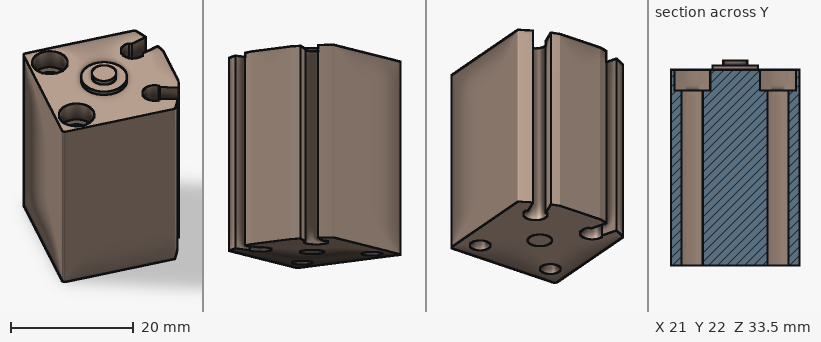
import cadquery as cq
import math

width = 21.0
depth = 22.0
half_width = width / 2
front_y = -half_width
back_y = front_y + depth
body_height = 32.0
front_corner_radius = 0.5

back_flat_half_width = 4.02
shoulder_y = 8.75
shoulder_bulge = 0.25
shoulder_corner_radius = 0.27

mount_offset = 7.0
mount_diameter = 3.4
counterbore_diameter = 5.8
counterbore_depth = 3.4

slot_x = 5.65
slot_y = 6.85
channel_diameter = 4.0
slot_width = 2.98
slot_tilt = 19.0
slot_length = 6.7
lip_height = 0.87
lip_drop = 0.25

boss_diameter = 7.5
boss_height = 0.7
rod_diameter = 4.0
rod_top = 33.5


def make_block():
    """Extrude the outline of the housing, symmetric about X = 0."""
    run = half_width - back_flat_half_width
    drop = back_y - shoulder_y
    chord = math.hypot(run, drop)
    middle_x = (half_width + back_flat_half_width) / 2 + shoulder_bulge * drop / chord
    middle_y = (back_y + shoulder_y) / 2 + shoulder_bulge * run / chord
    block = (
        cq.Workplane("XY")
        .moveTo(-half_width, front_y)
        .lineTo(half_width, front_y)
        .lineTo(half_width, shoulder_y)
        .threePointArc((middle_x, middle_y), (back_flat_half_width, back_y))
        .lineTo(-back_flat_half_width, back_y)
        .threePointArc((-middle_x, middle_y), (-half_width, shoulder_y))
        .close()
        .extrude(body_height)
    )
    block = block.edges("|Z and <Y").fillet(front_corner_radius)
    return block.edges("|Z and (<X or >X)").edges(">Y").fillet(shoulder_corner_radius)


def make_slot(side):
    """Slot cutter; side is -1 for the left slot and 1 for the right one."""
    radius = channel_diameter / 2
    neck = slot_width / 2
    lip_y = lip_height - lip_drop
    lip_x = math.sqrt(radius**2 - lip_y**2)
    return (
        cq.Workplane("XY")
        .moveTo(neck, slot_length)
        .lineTo(neck, lip_height)
        .lineTo(lip_x, lip_y)
        .threePointArc((0, -radius), (-lip_x, lip_y))
        .lineTo(-neck, lip_height)
        .lineTo(-neck, slot_length)
        .close()
        .extrude(body_height)
        .rotate((0, 0, 0), (0, 0, 1), -side * slot_tilt)
        .translate((side * slot_x, slot_y, 0))
    )


def make_housing():
    """Block with boss, sensor slots, counterbored holes and rod bore."""
    housing = make_block()
    for side in (-1, 1):
        housing = housing.cut(make_slot(side))
    housing = (
        housing.faces(">Z")
        .workplane(origin=(0, 0, body_height))
        .pushPoints([(-mount_offset, -mount_offset), (mount_offset, -mount_offset)])
        .cboreHole(mount_diameter, counterbore_diameter, counterbore_depth)
    )
    boss = (
        cq.Workplane("XY")
        .workplane(offset=body_height)
        .circle(boss_diameter / 2)
        .extrude(boss_height)
    )
    bore = cq.Workplane("XY").circle(rod_diameter / 2).extrude(rod_top)
    return housing.union(boss).cut(bore)


def make_rod():
    """Rod that fills the bore and stands above the boss."""
    return cq.Workplane("XY").circle(rod_diameter / 2).extrude(rod_top)


housing = make_housing()
rod = make_rod()
result = cq.Compound.makeCompound([housing.val(), rod.val()])